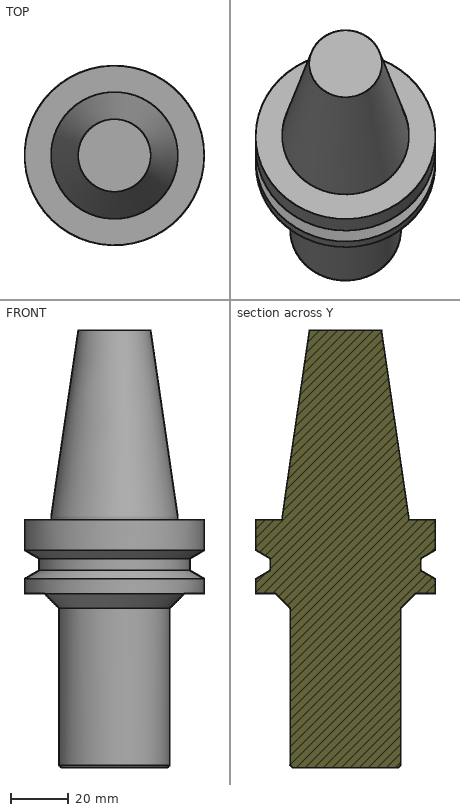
import cadquery as cq

flange_diameter = 63.0
groove_diameter = 53.0
gauge_diameter = 44.5
shank_diameter = 39.0

total_height = 153.4
taper_length = 65.3
collar_height = 1.0
flange_height = 26.0
upper_rim_height = 10.7
lower_rim_height = 5.2
groove_side_height = 2.9
neck_height = 5.0
end_chamfer = 0.9

taper_ratio = 7 / 24

gauge_z = total_height - taper_length
flange_top_z = gauge_z - collar_height
flange_bottom_z = flange_top_z - flange_height
groove_top_z = flange_top_z - upper_rim_height
groove_bottom_z = flange_bottom_z + lower_rim_height
shank_top_z = flange_bottom_z - neck_height

flange_radius = flange_diameter / 2
groove_radius = groove_diameter / 2
gauge_radius = gauge_diameter / 2
shank_radius = shank_diameter / 2
neck_radius = shank_radius + neck_height
taper_tip_radius = gauge_radius - taper_length * taper_ratio / 2

profile = [
    (0, 0),
    (shank_radius - end_chamfer, 0),
    (shank_radius, end_chamfer),
    (shank_radius, shank_top_z),
    (neck_radius, flange_bottom_z),
    (flange_radius, flange_bottom_z),
    (flange_radius, groove_bottom_z),
    (groove_radius, groove_bottom_z + groove_side_height),
    (groove_radius, groove_top_z - groove_side_height),
    (flange_radius, groove_top_z),
    (flange_radius, flange_top_z),
    (gauge_radius, flange_top_z),
    (gauge_radius, gauge_z),
    (taper_tip_radius, total_height),
    (0, total_height),
]

result = cq.Workplane("XZ").polyline(profile).close().revolve(360, (0, 0, 0), (0, 1, 0))